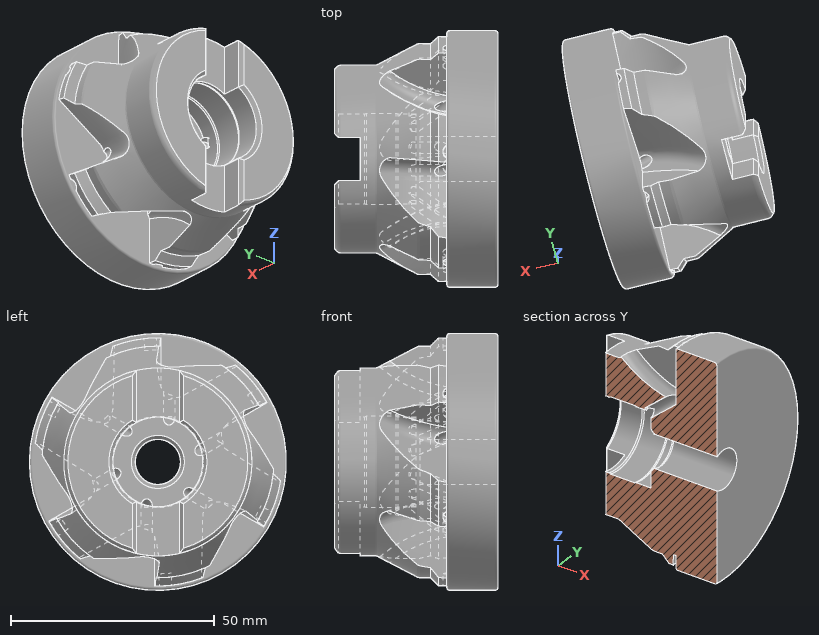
import cadquery as cq
import math

length = 40.08
flange_start = 27.5
flange_radius = 31.5
flange_edge_radius = 0.75
hub_radius = 23.05
hub_chamfer = 1.0
hub_chamfer_round = 1.4
hub_end = 10.3
hub_blend_radius = 0.8
cone_end = 20.6
cone_blend_radius = 1.6
cone_radius = 28.4
step_start = 23.5
step_end = 25.5
tooth_tip_radius = 30.4

match_margin = 0.05

slot_width = 10.5
slot_depth = 6.3
slot_chamfer = 1.0

bore_radius = 11.0
bore_depth = 20.0
bore_chamfer = 1.0
relief_radius = 11.2
relief_taper = 0.5
relief_start = 7.4
relief_end = 15.6
screw_hole_radius = 5.5
screw_hole_chamfer = 1.0

pocket_count = 6
pocket_pitch = 360.0 / pocket_count
cutter_center_x = 32.2
cutter_center_y = -1.18
cutter_center_z = 47.3
cutter_wall_radius = 29.3
cutter_corner_radius = 3.6
cutter_corner_center = 28.27
cutter_width = 30.0
floor_angle = math.radians(29.0)
rake_angle = 4.7

coolant_radius = 1.4
coolant_y = -2.75
coolant_mouth_x = 26.0
coolant_mouth_z = 15.9
coolant_slope = math.radians(40.0)
coolant_inner_run = 9.0
coolant_outer_run = 3.5

notch_radius = 1.7
notch_center_x = 28.3
notch_depth = 3.0
notch_angle = 3.6


def circle_at(x, radius):
    """Selector for the circular edge of the given radius at the given place on the axis."""
    reach = radius + match_margin
    inside = radius - match_margin
    near, far = x - match_margin, x + match_margin
    within_reach = cq.selectors.BoxSelector((near, -reach, -reach), (far, reach, reach), boundingbox=True)
    smaller = cq.selectors.BoxSelector((near, -inside, -inside), (far, inside, inside), boundingbox=True)
    return within_reach - smaller


def turned_body():
    body = (
        cq.Workplane("XY")
        .moveTo(0, 0)
        .lineTo(0, hub_radius - hub_chamfer)
        .lineTo(hub_chamfer, hub_radius)
        .lineTo(hub_end, hub_radius)
        .lineTo(cone_end, cone_radius)
        .lineTo(step_start, cone_radius)
        .lineTo(step_end, tooth_tip_radius)
        .lineTo(flange_start, tooth_tip_radius)
        .lineTo(flange_start, flange_radius)
        .lineTo(length, flange_radius)
        .lineTo(length, 0)
        .close()
        .revolve(360, (0, 0, 0), (1, 0, 0))
    )
    roundings = (
        (hub_chamfer, hub_radius, hub_chamfer_round),
        (hub_end, hub_radius, hub_blend_radius),
        (cone_end, cone_radius, cone_blend_radius),
        (flange_start, flange_radius, flange_edge_radius),
        (length, flange_radius, flange_edge_radius),
    )
    for x, radius, rounding in roundings:
        body = body.edges(circle_at(x, radius)).fillet(rounding)
    return body


def bore():
    return (
        cq.Workplane("XY")
        .moveTo(0, 0)
        .lineTo(0, bore_radius + bore_chamfer)
        .lineTo(bore_chamfer, bore_radius)
        .lineTo(relief_start, bore_radius)
        .lineTo(relief_start + relief_taper, relief_radius)
        .lineTo(relief_end - relief_taper, relief_radius)
        .lineTo(relief_end, bore_radius)
        .lineTo(bore_depth, bore_radius)
        .lineTo(bore_depth, screw_hole_radius + screw_hole_chamfer)
        .lineTo(bore_depth + screw_hole_chamfer, screw_hole_radius)
        .lineTo(length, screw_hole_radius)
        .lineTo(length, 0)
        .close()
        .revolve(360, (0, 0, 0), (1, 0, 0))
    )


def driving_slot():
    half_width = slot_width / 2
    half_mouth = half_width + slot_chamfer
    return (
        cq.Workplane("XY")
        .moveTo(0, -half_mouth)
        .lineTo(slot_chamfer, -half_width)
        .lineTo(slot_depth, -half_width)
        .lineTo(slot_depth, half_width)
        .lineTo(slot_chamfer, half_width)
        .lineTo(0, half_mouth)
        .close()
        .extrude(flange_radius, both=True)
    )


def ahead_of_flange():
    """Block covering everything in front of the flange face."""
    block_width = 4 * flange_radius
    return cq.Workplane("XY").box(flange_start, block_width, block_width, centered=(False, True, True))


def pocket():
    """Flat wall, rounded corner and conical floor of the pocket at the top."""
    r = cutter_corner_radius
    wall_drop = cutter_wall_radius - cutter_corner_center
    wall_angle = math.asin(wall_drop / r)
    foot_angle = math.pi / 2 + floor_angle
    corner_y = -r * math.cos(wall_angle)

    def corner_point(angle):
        """Point on the rounded corner; the angle grows from the wall side to the floor side."""
        return (corner_y + r * math.cos(angle), -cutter_corner_center - r * math.sin(angle))

    foot_y, foot_z = corner_point(foot_angle)
    end_radius = -foot_z - (cutter_width + foot_y) * math.tan(floor_angle)
    cutter = (
        cq.Workplane("YZ")
        .moveTo(0, 0)
        .lineTo(0, -cutter_wall_radius)
        .threePointArc(corner_point((wall_angle + foot_angle) / 2), (foot_y, foot_z))
        .lineTo(-cutter_width, -end_radius)
        .lineTo(-cutter_width, 0)
        .close()
        .revolve(360, (0, 0, 0), (1, 0, 0))
    )
    return (
        cutter.rotate((0, 0, 0), (0, 0, 1), -rake_angle)
        .translate((cutter_center_x, cutter_center_y, cutter_center_z))
        .intersect(ahead_of_flange())
    )


def coolant_hole():
    mouth = cq.Vector(coolant_mouth_x, coolant_y, coolant_mouth_z)
    direction = cq.Vector(math.cos(coolant_slope), 0, math.sin(coolant_slope))
    start = mouth - direction * coolant_inner_run
    run = coolant_inner_run + coolant_outer_run
    hole = cq.Workplane(cq.Solid.makeCylinder(coolant_radius, run, start, direction))
    return hole.intersect(ahead_of_flange())


def tip_notch():
    notch = (
        cq.Workplane("XY", origin=(notch_center_x, 0, tooth_tip_radius - notch_depth))
        .circle(notch_radius)
        .extrude(2 * notch_depth)
        .rotate((0, 0, 0), (1, 0, 0), -notch_angle)
    )
    return notch.intersect(ahead_of_flange())


result = turned_body().cut(bore()).cut(driving_slot())
for cutter in (pocket(), coolant_hole(), tip_notch()):
    for index in range(pocket_count):
        result = result.cut(cutter.rotate((0, 0, 0), (1, 0, 0), index * pocket_pitch))